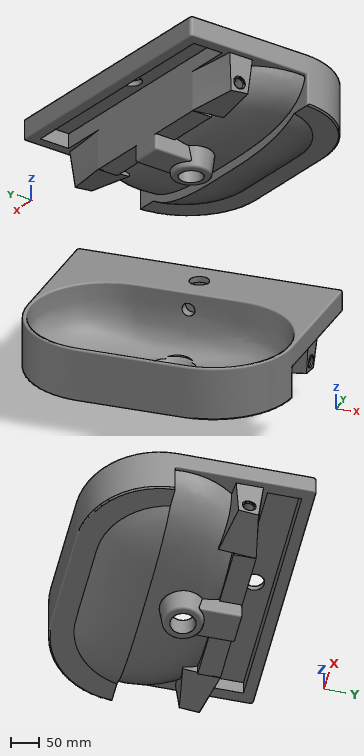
import cadquery as cq
import math


width = 500.0
depth = 400.0
corner_radius = 150.0
deck_height = 40.0
deck_thickness = 11.0
apron_height = 100.0
apron_back_y = -255.0
back_corner_radius = 6.0
top_edge_radius = 4.0
bottom_edge_radius = 3.0
inner_corner_radius = 4.0
deck_rim = 22.0

rim_width = 8.0
rim_edge_radius = 3.0
bowl_depth = 109.0
bowl_back_y = -109.5
shell_margin = 1.0
shell_back_margin = 4.0
shell_front_margin = 8.0
shell_depth = 137.5
shell_back_depth = 119.0
bowl_exponent = 3.0
bowl_centre_y = -170.0

section_count = 9
last_section_angle = 86.5
straight_points = 4
arc_points = 17

wall_y = -84.0
support_front_y = -125.0
support_half_width = 140.0
support_depth = 118.0

bracket_top_half_width = 238.0
bracket_tip_lean = 0.085
bracket_root_front_y = -152.0
bracket_root_back_depth = 117.5
bracket_root_front_depth = 111.0
bracket_tip_back_depth = 110.5
bracket_tip_front_depth = 106.5
tip_back_top_y = -93.0
tip_back_bottom_y = -101.0
tip_front_top_y = -143.0
tip_front_bottom_y = -137.0
bolt_y = -118.0
bolt_z = -91.0
bolt_diameter = 19.0
bolt_countersink_diameter = 25.0
bolt_hole_depth = 30.0

drain_y = -184.0
drain_bottom = 159.98
drain_top_radius = 42.0
drain_bottom_radius = 36.0
drain_edge = 5.0
drain_hole_radius = 23.0
drain_seat_radius = 36.0
drain_seat_depth = 14.0
drain_lip_radius = 40.0
drain_lip_depth = 2.0
overflow_half_width = 31.0
overflow_depth = 149.0
overflow_edge = 4.0
overflow_hole_radius = 12.0
overflow_hole_z = -32.0
overflow_hole_end_y = -92.0
tap_y = -55.0
tap_hole_diameter = 36.0


def box(x_min, x_max, y_min, y_max, z_min, z_max):
    """Block between the given limits."""
    size = (x_max - x_min, y_max - y_min, z_max - z_min)
    return cq.Workplane("XY").box(*size, centered=False).translate((x_min, y_min, z_min))


def half_section(half_width, half_depth, centre_y, z, side):
    """Smooth front-to-back curve along one side of a stadium section."""
    straight = half_width - half_depth
    points = [(0, centre_y - half_depth, z)]
    for index in range(straight_points):
        x = straight * (index + 1) / (straight_points + 1)
        points.append((side * x, centre_y - half_depth, z))
    for index in range(arc_points):
        angle = math.pi * index / (arc_points - 1)
        x = straight + half_depth * math.sin(angle)
        points.append((side * x, centre_y - half_depth * math.cos(angle), z))
    for index in range(straight_points):
        x = straight * (straight_points - index) / (straight_points + 1)
        points.append((side * x, centre_y + half_depth, z))
    points.append((0, centre_y + half_depth, z))
    tangents = [cq.Vector(side, 0, 0), cq.Vector(-side, 0, 0)]
    return cq.Edge.makeSpline([cq.Vector(*point) for point in points], tangents)


def bowl_solid(half_width, back_y, front_y, bottom):
    """Bowl lofted through stadium sections that shrink along a superellipse towards the drain."""
    half_depth = (back_y - front_y) / 2
    middle_y = (back_y + front_y) / 2
    wires = []
    for index in range(section_count):
        angle = math.radians(last_section_angle) * index / (section_count - 1)
        z = -bottom * math.sin(angle) ** (2 / bowl_exponent)
        scale = math.cos(angle) ** (2 / bowl_exponent)
        centre_y = bowl_centre_y + (middle_y - bowl_centre_y) * scale
        halves = []
        for side in (1, -1):
            halves.append(half_section(half_width * scale, half_depth * scale, centre_y, z, side))
        wires.append(cq.Wire.assembleEdges(halves))
    return cq.Workplane(cq.Solid.makeLoft(wires))


def deck_and_apron():
    """Square-backed deck with rounded front corners and a deeper apron at the front."""
    outline = cq.Workplane("XY").box(width, depth, apron_height, centered=(True, False, False))
    body = outline.translate((0, -depth, -apron_height))
    body = body.edges("|Z and <Y").fillet(corner_radius)
    body = body.edges("|Z and >Y").fillet(back_corner_radius)
    body = body.faces(">Z").edges().fillet(top_edge_radius)
    under_deck = box(-width, width, apron_back_y, depth, -2 * apron_height, -deck_height)
    body = body.cut(under_deck)
    inner_corner = cq.selectors.NearestToPointSelector((0, apron_back_y, -deck_height))
    body = body.edges("|X").edges(inner_corner).fillet(inner_corner_radius)
    apron_back = cq.selectors.BoxSelector(
        (-width, apron_back_y - 1, -apron_height), (width, apron_back_y + 1, -deck_height)
    )
    seeds = body.edges("|Z").edges(apron_back).add(body.faces("<Z").edges("not |X"))
    return body.newObject(seeds.vals()).fillet(bottom_edge_radius)


def bowl_shell():
    """Outside of the bowl: a deep front part over the apron and a shallower part behind it."""
    front_y = -depth + shell_front_margin
    front_part = bowl_solid(width / 2 - shell_margin, wall_y, front_y, shell_depth)
    back_part = bowl_solid(width / 2 - shell_back_margin, wall_y, front_y, shell_back_depth)
    behind_apron = box(-width, width, apron_back_y, depth, -2 * shell_depth, shell_depth)
    above_deck_underside = box(-width, width, -depth, depth, -deck_thickness, deck_height)
    return front_part.cut(behind_apron).union(back_part).cut(above_deck_underside)


def wall_support():
    """Wall plate across the back of the bowl."""
    return box(-support_half_width, support_half_width, support_front_y, wall_y,
               -support_depth, -deck_thickness)


def bracket():
    """Tapered bracket at the -X end with a countersunk bolt hole."""
    tip_top = -deck_height + bottom_edge_radius

    def tip_point(y, z):
        return (-bracket_top_half_width + bracket_tip_lean * (tip_top - z), y, z)

    root = [
        (-support_half_width, wall_y, -deck_thickness),
        (-support_half_width, bracket_root_front_y, -deck_thickness),
        (-support_half_width, bracket_root_front_y, -bracket_root_front_depth),
        (-support_half_width, wall_y, -bracket_root_back_depth),
    ]
    tip = [
        tip_point(tip_back_top_y, tip_top),
        tip_point(tip_front_top_y, tip_top),
        tip_point(tip_front_bottom_y, -bracket_tip_front_depth),
        tip_point(tip_back_bottom_y, -bracket_tip_back_depth),
    ]
    sections = []
    for corners in (root, tip):
        sections.append(cq.Wire.makePolygon([cq.Vector(*corner) for corner in corners], close=True))
    body = cq.Workplane(cq.Solid.makeLoft(sections, True))

    countersink_depth = (bolt_countersink_diameter - bolt_diameter) / 2
    hole = (
        cq.Workplane("YZ", origin=(-bracket_top_half_width, bolt_y, bolt_z))
        .circle(bolt_diameter / 2)
        .extrude(bolt_hole_depth)
    )
    countersink = cq.Solid.makeCone(
        bolt_countersink_diameter / 2, bolt_diameter / 2, countersink_depth,
        cq.Vector(*tip_point(bolt_y, bolt_z)), cq.Vector(1, 0, 0),
    )
    return body.cut(hole).cut(cq.Workplane(countersink))


def overflow_channel():
    """Narrow channel from the wall plate to the drain."""
    channel = box(-overflow_half_width, overflow_half_width, drain_y, wall_y,
                  -overflow_depth, -bowl_depth)
    return channel.edges("(|Z and >Y) or (<Z and (not <Y))").fillet(overflow_edge)


def drain_tail():
    """Tapered drain outlet under the bowl."""
    height = drain_bottom - support_depth
    tail = cq.Solid.makeCone(
        drain_bottom_radius, drain_top_radius, height, cq.Vector(0, drain_y, -drain_bottom)
    )
    return cq.Workplane(tail).faces("<Z").edges().fillet(drain_edge)


def deck_pocket():
    """Hollow under the deck, between its back rim and the wall plate."""
    half_width = width / 2 - deck_rim
    return box(-half_width, half_width, wall_y, -deck_rim, -deck_height, -deck_thickness)


def drain_hole():
    """Through hole with a tapered seat at the bowl floor."""
    hole = (
        cq.Workplane("XY", origin=(0, drain_y, -drain_bottom))
        .circle(drain_hole_radius)
        .extrude(drain_bottom - bowl_depth / 2)
    )
    profile = (
        cq.Workplane("XZ", origin=(0, drain_y, 0))
        .moveTo(0, -bowl_depth - drain_seat_depth)
        .lineTo(drain_hole_radius, -bowl_depth - drain_seat_depth)
        .lineTo(drain_seat_radius, -bowl_depth - drain_lip_depth)
        .lineTo(drain_lip_radius, -bowl_depth)
        .lineTo(drain_lip_radius, -bowl_depth / 2)
        .lineTo(0, -bowl_depth / 2)
        .close()
    )
    return hole.union(profile.revolve(360, (0, 0, 0), (0, 1, 0)))


def overflow_hole():
    """Blind overflow hole in the back wall of the bowl."""
    return (
        cq.Workplane("XZ", origin=(0, overflow_hole_end_y, overflow_hole_z))
        .circle(overflow_hole_radius)
        .extrude(overflow_hole_end_y - drain_y)
    )


def tap_hole():
    """Through hole in the deck."""
    return (
        cq.Workplane("XY", origin=(0, tap_y, -deck_height))
        .circle(tap_hole_diameter / 2)
        .extrude(deck_height)
    )


left_bracket = bracket()
basin = (
    deck_and_apron()
    .cut(deck_pocket())
    .union(bowl_shell())
    .union(wall_support())
    .union(left_bracket)
    .union(left_bracket.mirror("YZ"))
    .union(drain_tail())
    .union(overflow_channel())
)
bowl = bowl_solid(width / 2 - rim_width, bowl_back_y, -depth + rim_width, bowl_depth)
basin = basin.cut(bowl)
rim_box = cq.selectors.BoxSelector(
    (-width / 2 + rim_width - 1, -depth + rim_width - 1, -1),
    (width / 2 - rim_width + 1, bowl_back_y + 1, 1),
    boundingbox=True,
)
basin = basin.edges(rim_box).fillet(rim_edge_radius)

result = basin.cut(drain_hole()).cut(overflow_hole()).cut(tap_hole())